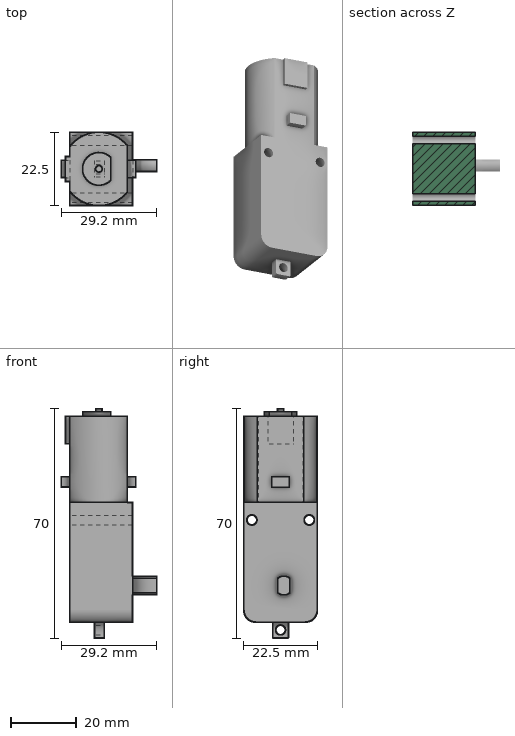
import cadquery as cq


HOUSING_X = 19.2
HOUSING_Y = 22.47
HOUSING_Z = 36.6
HOUSING_CORNER_RADIUS = 3.7

MOUNT_HOLE_DIAMETER = 3.0
MOUNT_HOLE_SPACING = 17.5
MOUNT_HOLE_DEPTH_BELOW_TOP = 5.4

MOTOR_DIAMETER = 22.4
MOTOR_LENGTH = 26.25
MOTOR_ACROSS_FLATS = 17.65
MOTOR_AXIS_X = 8.95
MOTOR_TOP_Z = HOUSING_Z + MOTOR_LENGTH

BOSS_DIAMETER = 10.0
BOSS_HEIGHT = 1.42
BOSS_FLAT_DISTANCE = 3.65
PIN_DIAMETER = 2.0
PIN_HEIGHT = 0.9

PAD_X = 1.3
PAD_Y = 7.7
PAD_Z = 8.45

TERMINAL_X = 2.56
TERMINAL_Y = 5.4
TERMINAL_Z = 3.2
TERMINAL_DEPTH_BELOW_TOP = 20.0

SHAFT_DIAMETER = 5.75
SHAFT_ACROSS_FLATS = 3.66
SHAFT_LENGTH = 7.45
SHAFT_CENTER_Y = 1.0
SHAFT_CENTER_Z = 11.2

TAB_X = 3.0
TAB_Y = 4.9
TAB_Z = 4.85
TAB_START_X = 7.6
TAB_CORNER_RADIUS = 0.4
TAB_HOLE_DIAMETER = 2.9
TAB_HOLE_DEPTH = 2.35


def box_from(x_start, length_x, center_y, width_y, z_bottom, height_z):
    """Box starting at x_start and z_bottom, centred on center_y."""
    corner = (x_start, center_y - width_y / 2, z_bottom)
    return cq.Workplane("XY").box(length_x, width_y, height_z, centered=False).translate(corner)


def rod_along_x(x_start, length, diameter, center_y, center_z):
    """Cylinder running in +X from x_start."""
    return (
        cq.Workplane("YZ", origin=(x_start, center_y, center_z))
        .circle(diameter / 2)
        .extrude(length)
    )


def rod_on_motor_axis(diameter, z_bottom, height):
    """Vertical cylinder on the motor axis."""
    return (
        cq.Workplane("XY", origin=(MOTOR_AXIS_X, 0, z_bottom))
        .circle(diameter / 2)
        .extrude(height)
    )


def make_housing():
    housing = box_from(0, HOUSING_X, 0, HOUSING_Y, 0, HOUSING_Z)
    housing = housing.faces("<Z").edges("|X").fillet(HOUSING_CORNER_RADIUS)
    for side in (-1, 1):
        hole_y = side * MOUNT_HOLE_SPACING / 2
        hole_z = HOUSING_Z - MOUNT_HOLE_DEPTH_BELOW_TOP
        housing = housing.cut(rod_along_x(0, HOUSING_X, MOUNT_HOLE_DIAMETER, hole_y, hole_z))
    return housing


def make_motor():
    can = rod_on_motor_axis(MOTOR_DIAMETER, HOUSING_Z, MOTOR_LENGTH)
    between_flats = box_from(0, MOTOR_ACROSS_FLATS, 0, MOTOR_DIAMETER, HOUSING_Z, MOTOR_LENGTH)
    return can.intersect(between_flats)


def make_boss_and_pin():
    boss = rod_on_motor_axis(BOSS_DIAMETER, MOTOR_TOP_Z, BOSS_HEIGHT)
    boss_left_x = MOTOR_AXIS_X - BOSS_DIAMETER / 2
    boss_length_x = BOSS_DIAMETER / 2 + BOSS_FLAT_DISTANCE
    boss = boss.intersect(box_from(boss_left_x, boss_length_x, 0, BOSS_DIAMETER, MOTOR_TOP_Z, BOSS_HEIGHT))
    pin = rod_on_motor_axis(PIN_DIAMETER, MOTOR_TOP_Z + BOSS_HEIGHT, PIN_HEIGHT)
    return boss.union(pin)


def make_pad():
    return box_from(-PAD_X, PAD_X, 0, PAD_Y, MOTOR_TOP_Z - PAD_Z, PAD_Z)


def make_terminal(x_start):
    z_bottom = MOTOR_TOP_Z - TERMINAL_DEPTH_BELOW_TOP - TERMINAL_Z / 2
    return box_from(x_start, TERMINAL_X, 0, TERMINAL_Y, z_bottom, TERMINAL_Z)


def make_shaft():
    shaft = rod_along_x(HOUSING_X, SHAFT_LENGTH, SHAFT_DIAMETER, SHAFT_CENTER_Y, SHAFT_CENTER_Z)
    shaft_bottom_z = SHAFT_CENTER_Z - SHAFT_DIAMETER / 2
    between_flats = box_from(
        HOUSING_X, SHAFT_LENGTH, SHAFT_CENTER_Y, SHAFT_ACROSS_FLATS, shaft_bottom_z, SHAFT_DIAMETER
    )
    return shaft.intersect(between_flats)


def make_tab():
    tab = box_from(TAB_START_X, TAB_X, 0, TAB_Y, -TAB_Z, TAB_Z)
    tab = tab.faces("<Z").edges("|X").fillet(TAB_CORNER_RADIUS)
    return tab.cut(rod_along_x(TAB_START_X, TAB_X, TAB_HOLE_DIAMETER, 0, -TAB_HOLE_DEPTH))


result = (
    make_housing()
    .union(make_motor())
    .union(make_boss_and_pin())
    .union(make_pad())
    .union(make_terminal(-TERMINAL_X))
    .union(make_terminal(MOTOR_ACROSS_FLATS))
    .union(make_shaft())
    .union(make_tab())
)